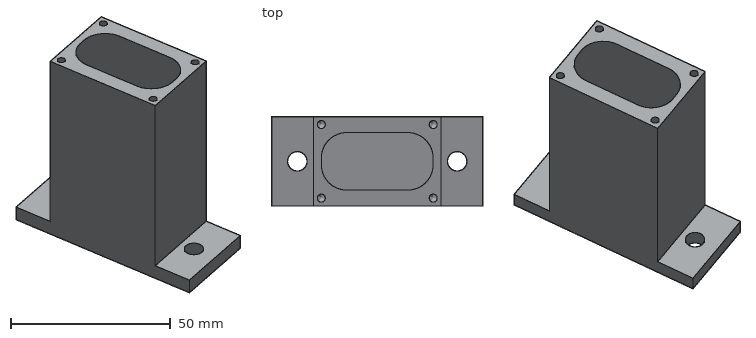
import cadquery as cq
import math

base_length = 66.0
depth = 28.0
base_thickness = 5.0

total_height = 68.0
housing_length = 40.0

pocket_length = 35.0
pocket_width = 18.0
pocket_corner_radius = 8.0
pocket_floor = base_thickness

mount_hole_diameter = 6.0
mount_hole_spacing = 50.0

screw_hole_diameter = 2.5
screw_hole_spacing_x = 35.0
screw_hole_spacing_y = 23.0
screw_hole_depth = 10.0
drill_point_angle = 120.0


def make_body():
    """Flange with the upright housing centred on it."""
    flange = cq.Workplane("XY").box(base_length, depth, base_thickness, centered=(True, True, False))
    housing = cq.Workplane("XY").box(housing_length, depth, total_height, centered=(True, True, False))
    return flange.union(housing)


def make_pocket():
    """Cutter for the main pocket."""
    return (
        cq.Workplane("XY")
        .workplane(offset=pocket_floor)
        .rect(pocket_length, pocket_width)
        .extrude(total_height - pocket_floor)
        .edges("|Z")
        .fillet(pocket_corner_radius)
    )


def make_mount_holes():
    """Cutters for the two flange holes."""
    return (
        cq.Workplane("XY")
        .pushPoints([(-mount_hole_spacing / 2, 0), (mount_hole_spacing / 2, 0)])
        .circle(mount_hole_diameter / 2)
        .extrude(base_thickness)
    )


def make_screw_hole(x, y):
    """Cutter for one screw hole ending in a conical drill point."""
    radius = screw_hole_diameter / 2
    tip_length = radius / math.tan(math.radians(drill_point_angle / 2))
    shoulder_z = total_height - screw_hole_depth
    profile = (
        cq.Workplane("XZ")
        .moveTo(0, total_height)
        .lineTo(radius, total_height)
        .lineTo(radius, shoulder_z)
        .lineTo(0, shoulder_z - tip_length)
        .close()
    )
    return profile.revolve(360, (0, 0, 0), (0, 1, 0)).translate((x, y, 0))


result = make_body().cut(make_pocket()).cut(make_mount_holes())
for side_x in (-1, 1):
    for side_y in (-1, 1):
        hole_x = side_x * screw_hole_spacing_x / 2
        hole_y = side_y * screw_hole_spacing_y / 2
        result = result.cut(make_screw_hole(hole_x, hole_y))